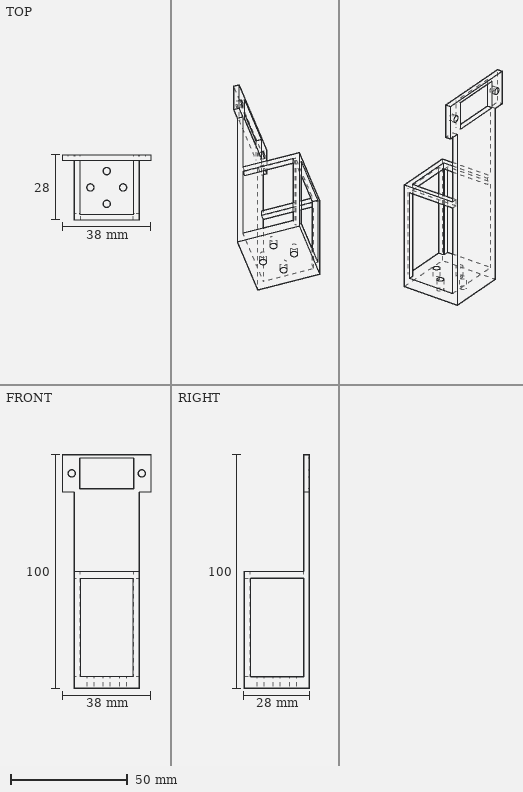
import cadquery as cq

total_height = 100.0
box_side = 28.0
box_height = 50.0
wall = 2.5
floor_thickness = 5.0

window_post = 2.8
window_top = 47.0

head_width = 38.0
head_height = 16.0
head_opening_width = 23.0
head_opening_margin = 1.5
mount_hole_spacing = 30.0

hole_diameter = 3.0
floor_hole_radius = 7.0


def block(x_size, y_min, y_max, z_min, z_max):
    """Block centred on X, spanning the given Y and Z ranges."""
    return (
        cq.Workplane("XY")
        .box(x_size, y_max - y_min, z_max - z_min, centered=(True, False, False))
        .translate((0, y_min, z_min))
    )


def make_box():
    """Open-topped box with a drilled floor and windows in its front and sides."""
    inner_side = box_side - 2 * wall
    body = block(box_side, -box_side, 0, 0, box_height)
    cavity = block(inner_side, -box_side + wall, -wall, floor_thickness, box_height)
    front_window_width = box_side - 2 * window_post
    front_window = block(front_window_width, -box_side, -box_side + wall, floor_thickness, window_top)
    side_window = block(box_side, -box_side + window_post, -wall, floor_thickness, window_top)
    floor_holes = (
        cq.Workplane("XY")
        .center(0, -box_side / 2)
        .polarArray(floor_hole_radius, 0, 360, 4)
        .circle(hole_diameter / 2)
        .extrude(floor_thickness)
    )
    return body.cut(cavity).cut(front_window).cut(side_window).cut(floor_holes)


def make_back_plate():
    """Strip that carries the head above the box."""
    return block(box_side, -wall, 0, 0, total_height - head_height)


def make_head():
    """Wide plate with a rectangular opening between two screw holes."""
    head = block(head_width, -wall, 0, total_height - head_height, total_height)
    opening = block(
        head_opening_width,
        -wall,
        0,
        total_height - head_height + head_opening_margin,
        total_height - head_opening_margin,
    )
    mount_holes = (
        cq.Workplane("XZ")
        .center(0, total_height - head_height / 2)
        .rarray(mount_hole_spacing, 1, 2, 1)
        .circle(hole_diameter / 2)
        .extrude(wall)
    )
    return head.cut(opening).cut(mount_holes)


result = make_box().union(make_back_plate()).union(make_head())